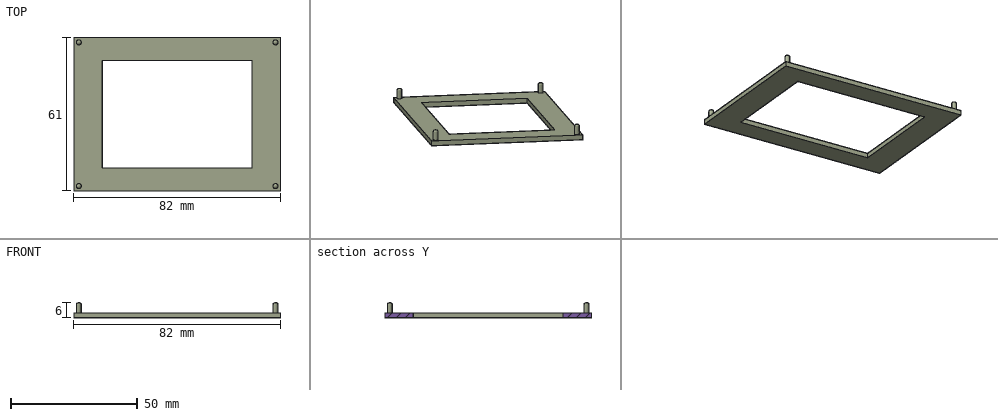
import cadquery as cq

plate_length = 82.0
plate_width = 61.0
plate_thickness = 2.0

window_length = 59.3
window_width = 42.6

pin_diameter = 2.0
pin_height = 4.0
pin_inset = 2.0
pin_tip_radius = 0.77


def make_frame():
    """Flat plate with the rectangular window cut through it."""
    plate = cq.Workplane("XY").rect(plate_length, plate_width)
    return plate.rect(window_length, window_width).extrude(plate_thickness)


def make_pin():
    """Pin with a rounded tip, rising from the underside of the plate so that it fuses with it."""
    pin = cq.Workplane("XY").circle(pin_diameter / 2).extrude(plate_thickness + pin_height)
    return pin.faces(">Z").edges().fillet(pin_tip_radius)


def add_pins(body):
    """Place one pin at each corner of the plate."""
    pin = make_pin()
    pin_x = plate_length / 2 - pin_inset
    pin_y = plate_width / 2 - pin_inset
    for x in (-pin_x, pin_x):
        for y in (-pin_y, pin_y):
            body = body.union(pin.translate((x, y, 0)))
    return body


result = add_pins(make_frame())